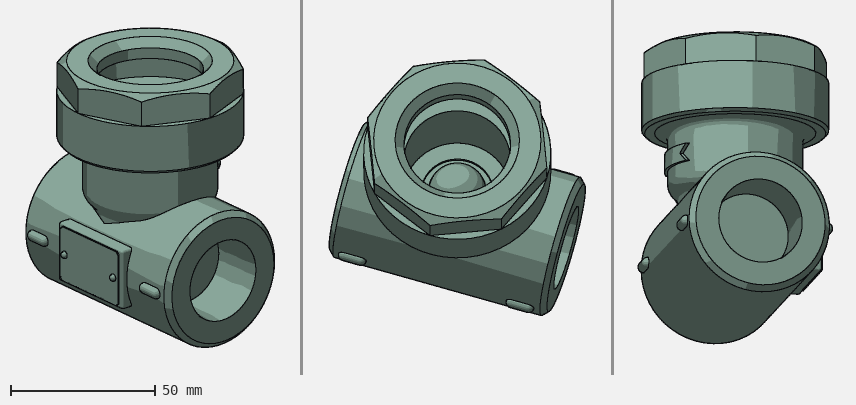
import cadquery as cq
import math

TOTAL_HEIGHT = 95.0

PIPE_LENGTH = 79.0
PIPE_RADIUS = 50.0 / 2
PIPE_CHAMFER = 2.0
BORE_MOUTH_RADIUS = 29.7 / 2
BORE_RADIUS = 28.6 / 2
BORE_TAPER_DEPTH = 15.0
BORE_DEPTH = 19.5
PIPE_AXIS_Z = PIPE_RADIUS

NECK_RADIUS = 47.0 / 2
NECK_ROUND_Z = 47.7
NECK_ROUND_RADIUS = 5.6
NECK_BLEND_RADIUS = 3.0
FLANGE_RADIUS = 56.0 / 2
FLANGE_BOTTOM_Z = 65.9
FLANGE_TOP_Z = 77.1
FLANGE_FILLET = 3.0

NECK_BORE_RADIUS = 37.0 / 2
NECK_FLOOR_Z = NECK_ROUND_Z
RECESS_RADIUS = 25.0 / 2
RECESS_DEPTH = 1.0
DOME_FOOT_RADIUS = 23.0 / 2
DOME_RADIUS = 10.1

LUG_RADIUS = 2.0
LUG_LENGTH = 10.1
LUG_X = 30.4

PAD_WIDTH = 34.8
PAD_HEIGHT = 22.1
PAD_FILLET = 1.0
PAD_RELIEF = 2.0
PAD_FACE_Y = -(PIPE_RADIUS + PAD_RELIEF)
PLATE_WIDTH = 31.35
PLATE_HEIGHT = 20.3
PLATE_THICKNESS = 0.6
PLATE_CORNER_CUT = 1.0
RIVET_RADIUS = 1.3
RIVET_X = 13.2

MARK_HALF_LENGTH = 13.4
MARK_NOTCH_DEPTH = 2.8
MARK_HEIGHT = 6.2
MARK_Z = 55.0
MARK_RELIEF = 1.0

NUT_RADIUS = 65.0 / 2
NUT_SIDES = 8
NUT_SKIRT_TOP_Z = 83.9
NUT_TOP_RADIUS = 58.0 / 2
NUT_TOP_ANGLE = 30
NUT_BOTTOM_CHAMFER = 1.0
NUT_BORE_RADIUS = NECK_BORE_RADIUS
NUT_MOUTH_RADIUS = 43.1 / 2
NUT_MOUTH_DEPTH = 3.0
NUT_LIP_THICKNESS = 7.0


def upright_cylinder(radius, bottom, top):
    """Cylinder on the Z axis between two heights."""
    return cq.Workplane("XY").workplane(offset=bottom).circle(radius).extrude(top - bottom)


def pipe():
    """Solid rod along X with chamfered ends."""
    rod = cq.Workplane("YZ").center(0, PIPE_AXIS_Z).circle(PIPE_RADIUS)
    rod = rod.extrude(PIPE_LENGTH / 2, both=True)
    return rod.faces("<X or >X").chamfer(PIPE_CHAMFER)


def pipe_bore():
    """Blind bore with a tapered mouth, for the -X end."""
    end = -PIPE_LENGTH / 2
    outline = (
        cq.Workplane("XY")
        .moveTo(end, 0)
        .lineTo(end, BORE_MOUTH_RADIUS)
        .lineTo(end + BORE_TAPER_DEPTH, BORE_RADIUS)
        .lineTo(end + BORE_DEPTH, BORE_RADIUS)
        .lineTo(end + BORE_DEPTH, 0)
        .close()
    )
    return outline.revolve(360, (0, 0, 0), (1, 0, 0)).translate((0, 0, PIPE_AXIS_Z))


def neck():
    """Revolved neck whose rounded bottom blends tangentially into the pipe."""
    round_center = cq.Vector(NECK_RADIUS - NECK_ROUND_RADIUS, NECK_ROUND_Z)
    pipe_center = cq.Vector(0, PIPE_AXIS_Z)

    to_round = NECK_ROUND_RADIUS + NECK_BLEND_RADIUS
    to_pipe = PIPE_RADIUS + NECK_BLEND_RADIUS
    span = round_center - pipe_center
    along = (to_pipe**2 - to_round**2 + span.Length**2) / (2 * span.Length)
    aside = math.sqrt(to_pipe**2 - along**2)
    direction = span.normalized()
    sideways = cq.Vector(direction.y, -direction.x)
    blend_center = pipe_center + direction * along + sideways * aside

    round_end = round_center + (blend_center - round_center).normalized() * NECK_ROUND_RADIUS
    pipe_touch = pipe_center + (blend_center - pipe_center).normalized() * PIPE_RADIUS

    fillet_radius = NECK_RADIUS + FLANGE_FILLET
    fillet_start_z = FLANGE_BOTTOM_Z - FLANGE_FILLET
    outline = (
        cq.Workplane("XZ")
        .moveTo(0, pipe_touch.y)
        .lineTo(pipe_touch.x, pipe_touch.y)
        .radiusArc((round_end.x, round_end.y), NECK_BLEND_RADIUS)
        .radiusArc((NECK_RADIUS, NECK_ROUND_Z), -NECK_ROUND_RADIUS)
        .lineTo(NECK_RADIUS, fillet_start_z)
        .radiusArc((fillet_radius, FLANGE_BOTTOM_Z), FLANGE_FILLET)
        .lineTo(FLANGE_RADIUS, FLANGE_BOTTOM_Z)
        .lineTo(FLANGE_RADIUS, FLANGE_TOP_Z)
        .lineTo(0, FLANGE_TOP_Z)
        .close()
    )
    return outline.revolve()


def neck_bore():
    """Bore of the neck with the shallow recess in its floor."""
    bore = upright_cylinder(NECK_BORE_RADIUS, NECK_FLOOR_Z, FLANGE_TOP_Z)
    return bore.union(upright_cylinder(RECESS_RADIUS, NECK_FLOOR_Z - RECESS_DEPTH, NECK_FLOOR_Z))


def dome():
    """Hemisphere with a filleted foot, standing on the recess floor."""
    foot_z = NECK_FLOOR_Z - RECESS_DEPTH
    foot_fillet = DOME_FOOT_RADIUS - DOME_RADIUS
    dome_center_z = foot_z + foot_fillet
    outline = (
        cq.Workplane("XZ")
        .moveTo(0, PIPE_AXIS_Z)
        .lineTo(DOME_FOOT_RADIUS, PIPE_AXIS_Z)
        .lineTo(DOME_FOOT_RADIUS, foot_z)
        .radiusArc((DOME_RADIUS, dome_center_z), foot_fillet)
        .radiusArc((0, dome_center_z + DOME_RADIUS), -DOME_RADIUS)
        .close()
    )
    return outline.revolve()


def lug(x, y):
    """Round-ended bar half sunk into the side of the pipe."""
    half_straight = LUG_LENGTH / 2 - LUG_RADIUS
    bar = cq.Workplane("YZ").circle(LUG_RADIUS).extrude(half_straight, both=True)
    for end_x in (-half_straight, half_straight):
        bar = bar.union(cq.Workplane("XY").sphere(LUG_RADIUS).translate((end_x, 0, 0)))
    return bar.translate((x, y, PIPE_AXIS_Z))


def name_plate():
    """Pad with a thin plate and two rivet heads; its root lies inside the pipe."""
    pad = (
        cq.Workplane("XZ", origin=(0, 0, PIPE_AXIS_Z))
        .rect(PAD_WIDTH, PAD_HEIGHT)
        .extrude(-PAD_FACE_Y)
        .edges("|Y or <Y")
        .fillet(PAD_FILLET)
    )
    plate = (
        cq.Workplane("XZ", origin=(0, PAD_FACE_Y, PIPE_AXIS_Z))
        .rect(PLATE_WIDTH, PLATE_HEIGHT)
        .extrude(PLATE_THICKNESS)
        .edges("|Y")
        .chamfer(PLATE_CORNER_CUT)
    )
    pad = pad.union(plate)
    for x in (-RIVET_X, RIVET_X):
        rivet = cq.Workplane("XY").sphere(RIVET_RADIUS)
        pad = pad.union(rivet.translate((x, PAD_FACE_Y - PLATE_THICKNESS, PIPE_AXIS_Z)))
    return pad


def flow_mark():
    """Raised ribbon with a notched tail and a pointed tip toward +X."""
    half_height = MARK_HEIGHT / 2
    outer_radius = NECK_RADIUS + MARK_RELIEF
    shoulder_x = MARK_HALF_LENGTH - MARK_NOTCH_DEPTH
    ribbon = (
        cq.Workplane("XZ", origin=(0, 0, MARK_Z))
        .polyline([
            (-MARK_HALF_LENGTH, half_height),
            (-shoulder_x, 0),
            (-MARK_HALF_LENGTH, -half_height),
            (shoulder_x, -half_height),
            (MARK_HALF_LENGTH, 0),
            (shoulder_x, half_height),
        ])
        .close()
        .extrude(-outer_radius)
    )
    drum = upright_cylinder(outer_radius, MARK_Z - half_height, MARK_Z + half_height)
    return ribbon.intersect(drum)


def trap_body():
    """Pipe, neck and side details, hollowed from both ends and from above."""
    solid = pipe().union(neck())
    for x in (-LUG_X, LUG_X):
        for y in (-PIPE_RADIUS, PIPE_RADIUS):
            solid = solid.union(lug(x, y))
    solid = solid.union(name_plate()).union(flow_mark())
    bore = pipe_bore()
    return solid.cut(bore).cut(bore.mirror("YZ")).cut(neck_bore()).union(dome())


def nut():
    """Round skirt with an octagonal head, open from below for the flange."""
    skirt = upright_cylinder(NUT_RADIUS, FLANGE_BOTTOM_Z, NUT_SKIRT_TOP_Z)
    skirt = skirt.faces("<Z").chamfer(NUT_BOTTOM_CHAMFER)
    head = (
        cq.Workplane("XY")
        .workplane(offset=NUT_SKIRT_TOP_Z)
        .polygon(NUT_SIDES, 2 * NUT_RADIUS)
        .extrude(TOTAL_HEIGHT - NUT_SKIRT_TOP_Z)
    )

    cone_height = (NUT_RADIUS - NUT_TOP_RADIUS) * math.tan(math.radians(NUT_TOP_ANGLE))
    crown = (
        cq.Workplane("XZ")
        .moveTo(0, NUT_SKIRT_TOP_Z)
        .lineTo(NUT_RADIUS, NUT_SKIRT_TOP_Z)
        .lineTo(NUT_RADIUS, TOTAL_HEIGHT - cone_height)
        .lineTo(NUT_TOP_RADIUS, TOTAL_HEIGHT)
        .lineTo(0, TOTAL_HEIGHT)
        .close()
        .revolve()
    )

    socket_top_z = TOTAL_HEIGHT - NUT_LIP_THICKNESS
    opening = (
        cq.Workplane("XZ")
        .moveTo(0, FLANGE_BOTTOM_Z)
        .lineTo(FLANGE_RADIUS, FLANGE_BOTTOM_Z)
        .lineTo(FLANGE_RADIUS, socket_top_z)
        .lineTo(NUT_BORE_RADIUS, socket_top_z)
        .lineTo(NUT_BORE_RADIUS, TOTAL_HEIGHT - NUT_MOUTH_DEPTH)
        .lineTo(NUT_MOUTH_RADIUS, TOTAL_HEIGHT)
        .lineTo(0, TOTAL_HEIGHT)
        .close()
        .revolve()
    )
    return skirt.union(head.intersect(crown)).cut(opening)


result = cq.Compound.makeCompound([trap_body().val(), nut().val()])